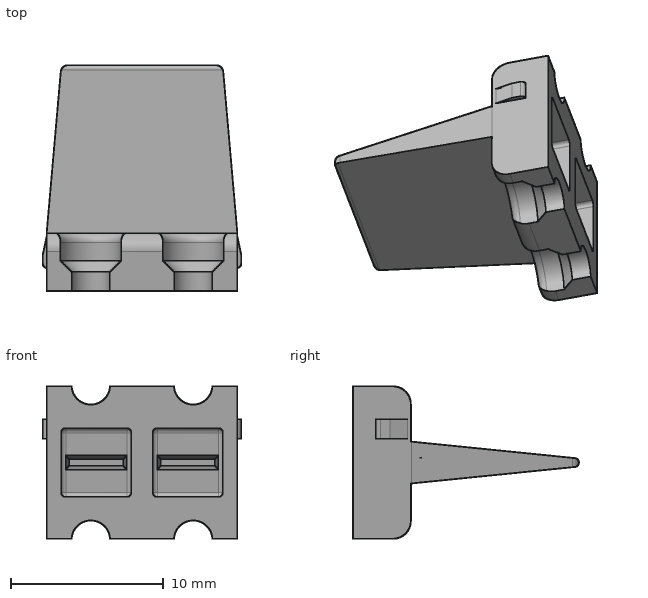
import cadquery as cq
import math

body_width = 12.5
body_depth = 3.8
body_height = 10.0
body_round = 1.2

total_length = 14.8
blade_base_thickness = 2.76
blade_tip_radius = 0.3
blade_side_angle = 5.0
blade_corner_radius = 0.5

groove_spacing = 6.7
groove_axis_height = body_height / 2 + 0.05
groove_small_radius = 1.25
groove_large_radius = 2.0
groove_cone_start = 1.25
groove_cone_length = groove_large_radius - groove_small_radius
groove_mouth_round = 0.6

pocket_spacing = 6.0
pocket_width = 4.6
pocket_height = 4.5
pocket_depth = 2.8
pocket_round = 0.3
slot_width = pocket_width - 2 * pocket_round
slot_height = 0.95
slot_end_width = 3.52
slot_end_height = 0.4
slot_depth = 2.8

latch_projection = 0.25
latch_height = 1.3
latch_center_z = 2.2
latch_nose_radius = 0.3
latch_nose_end = 1.8
latch_ramp_start = 2.4
latch_back = 3.55


def front_plane(y):
    """XZ sketch plane at depth y, with its normal along +Y and its local x along +X."""
    return cq.Plane(origin=(0, y, 0), xDir=(1, 0, 0), normal=(0, 1, 0))


def make_body():
    block = cq.Workplane("XY").box(body_width, body_depth, body_height)
    return block.translate((0, body_depth / 2, 0)).edges("|X and >Y").fillet(body_round)


def make_blade():
    """Blade tapering in thickness and in width, with a rounded tip."""
    half_base = blade_base_thickness / 2
    arc_start = total_length - blade_tip_radius
    side_profile = (
        cq.Workplane("YZ")
        .moveTo(body_depth, -half_base)
        .lineTo(arc_start, -blade_tip_radius)
        .threePointArc((total_length, 0), (arc_start, blade_tip_radius))
        .lineTo(body_depth, half_base)
        .close()
        .extrude(body_width / 2, both=True)
    )
    half_width = body_width / 2
    blade_length = total_length - body_depth
    half_tip_width = half_width - blade_length * math.tan(math.radians(blade_side_angle))
    plan = (
        cq.Workplane("XY")
        .polyline([
            (-half_width, body_depth),
            (half_width, body_depth),
            (half_tip_width, total_length),
            (-half_tip_width, total_length),
        ])
        .close()
        .extrude(blade_base_thickness, both=True)
        .edges("|Z and >Y")
        .fillet(blade_corner_radius)
    )
    return side_profile.intersect(plan)


def make_groove_cutter():
    """Stepped round cutter along Y, flared where it leaves the back of the body."""
    cone_end = groove_cone_start + groove_cone_length
    flare_start = body_depth - groove_mouth_round
    flare_radius = groove_large_radius + groove_mouth_round
    arc_offset = groove_mouth_round * math.sqrt(0.5)
    return (
        cq.Workplane("XY")
        .lineTo(groove_small_radius, 0)
        .lineTo(groove_small_radius, groove_cone_start)
        .lineTo(groove_large_radius, cone_end)
        .lineTo(groove_large_radius, flare_start)
        .threePointArc(
            (flare_radius - arc_offset, flare_start + arc_offset),
            (flare_radius, body_depth),
        )
        .lineTo(0, body_depth)
        .close()
        .revolve(360, (0, 0, 0), (0, 1, 0))
    )


def make_pocket_cutter():
    """Rounded pocket with a slot that narrows as it goes deeper."""
    pocket = (
        cq.Workplane("XY")
        .box(pocket_width, pocket_depth, pocket_height)
        .translate((0, pocket_depth / 2, 0))
        .edges("|Y or >Y")
        .fillet(pocket_round)
    )
    slot = (
        cq.Workplane(front_plane(pocket_depth))
        .rect(slot_width, slot_height)
        .workplane(offset=slot_depth)
        .rect(slot_end_width, slot_end_height)
        .loft(ruled=True)
    )
    return pocket.union(slot)


def make_latch():
    """Bump on the +X side: a nose tangent to the crest in front, a ramp down to the back."""
    side = body_width / 2
    crest = side + latch_projection
    nose_center_x = crest - latch_nose_radius
    nose_angle = math.acos((side - nose_center_x) / latch_nose_radius)

    def nose_point(angle):
        x = nose_center_x + latch_nose_radius * math.cos(angle)
        return x, latch_nose_end - latch_nose_radius * math.sin(angle)

    return (
        cq.Workplane("XY", origin=(0, 0, latch_center_z - latch_height / 2))
        .moveTo(*nose_point(nose_angle))
        .threePointArc(nose_point(nose_angle / 2), (crest, latch_nose_end))
        .lineTo(crest, latch_ramp_start)
        .lineTo(side, latch_back)
        .close()
        .extrude(latch_height)
    )


result = make_body()

groove_cutter = make_groove_cutter()
for x_side in (-1, 1):
    for z_side in (-1, 1):
        groove_place = (x_side * groove_spacing / 2, 0, z_side * groove_axis_height)
        result = result.cut(groove_cutter.translate(groove_place))

result = result.union(make_blade())

pocket_cutter = make_pocket_cutter()
for x_side in (-1, 1):
    result = result.cut(pocket_cutter.translate((x_side * pocket_spacing / 2, 0, 0)))

latch = make_latch()
result = result.union(latch).union(latch.mirror("YZ"))